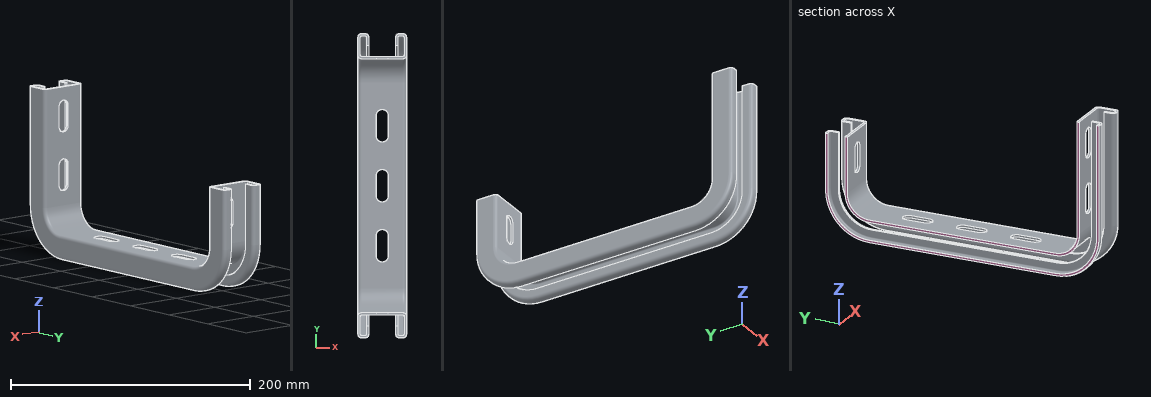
import cadquery as cq

LENGTH = 254.0
TALL_HEIGHT = 142.0
SHORT_HEIGHT = 92.0

WIDTH = 41.0
DEPTH = 21.0
THICKNESS = 2.08
OPENING = 22.0
LIP_LENGTH = 10.0
CORNER_RADIUS = 3.3

WEB_BEND_RADIUS = 19.8
BEND_RADIUS = WEB_BEND_RADIUS + DEPTH

SLOT_WIDTH = 10.0
SLOT_LENGTH = 27.0
SLOT_PITCH = 50.0
END_DISTANCE = 25.0
BASE_SLOT_COUNT = 3
TALL_SLOT_COUNT = 2
SHORT_SLOT_COUNT = 1

OPEN_SIDE_Y = -LENGTH / 2
WEB_INSIDE_Y = OPEN_SIDE_Y + DEPTH


def folded_line(inset):
    """Open wire along one face of the sheet, from lip tip to lip tip at the tall arm's end.

    An inset of zero follows the outer face, an inset of THICKNESS the inner one.
    """
    side_x = WIDTH / 2 - inset
    lip_x = OPENING / 2 + inset
    web_y = WEB_INSIDE_Y - inset
    open_y = OPEN_SIDE_Y + inset
    tip_y = OPEN_SIDE_Y + LIP_LENGTH
    right_half = [(side_x, web_y), (side_x, open_y), (lip_x, open_y), (lip_x, tip_y)]
    left_half = [(-x, y) for x, y in reversed(right_half)]
    corners = [cq.Vector(x, y, TALL_HEIGHT) for x, y in left_half + right_half]

    sharp_line = cq.Wire.makePolygon(corners)
    folds = [vertex for vertex in sharp_line.Vertices() if abs(vertex.Y - tip_y) > THICKNESS]
    return sharp_line.fillet(CORNER_RADIUS - inset, folds)


def channel_section():
    """Closed wire around the sheet, with square lip tips."""
    outer = folded_line(0)
    inner = folded_line(THICKNESS)
    tips = [
        cq.Edge.makeLine(outer.startPoint(), inner.startPoint()),
        cq.Edge.makeLine(outer.endPoint(), inner.endPoint()),
    ]
    return cq.Wire.combine([*outer.Edges(), *inner.Edges(), *tips])[0]


def bent_channel():
    """Sweep the section down the tall arm, along the base and up the short arm."""
    straight_end = LENGTH / 2 - BEND_RADIUS
    path = (
        cq.Workplane("YZ")
        .moveTo(OPEN_SIDE_Y, TALL_HEIGHT)
        .lineTo(OPEN_SIDE_Y, BEND_RADIUS)
        .radiusArc((-straight_end, 0), -BEND_RADIUS)
        .lineTo(straight_end, 0)
        .radiusArc((LENGTH / 2, BEND_RADIUS), -BEND_RADIUS)
        .lineTo(LENGTH / 2, SHORT_HEIGHT)
    )
    return cq.Workplane("XY").add(channel_section()).toPending().sweep(path)


def slot_cutters(plane, centres):
    """Slots across X = 0, long along the plane's second axis, reaching through the web."""
    return (
        plane.pushPoints([(0, centre) for centre in centres])
        .slot2D(SLOT_LENGTH, SLOT_WIDTH, 90)
        .extrude(2 * THICKNESS, both=True)
    )


tall_centres = [TALL_HEIGHT - END_DISTANCE - i * SLOT_PITCH for i in range(TALL_SLOT_COUNT)]
short_centres = [SHORT_HEIGHT - END_DISTANCE - i * SLOT_PITCH for i in range(SHORT_SLOT_COUNT)]
base_centres = [(i - (BASE_SLOT_COUNT - 1) / 2) * SLOT_PITCH for i in range(BASE_SLOT_COUNT)]

tall_web = cq.Workplane("XZ", origin=(0, WEB_INSIDE_Y, 0))
short_web = cq.Workplane("XZ", origin=(0, -WEB_INSIDE_Y, 0))
base_web = cq.Workplane("XY", origin=(0, 0, DEPTH))

result = bent_channel()
result = result.cut(slot_cutters(tall_web, tall_centres))
result = result.cut(slot_cutters(short_web, short_centres))
result = result.cut(slot_cutters(base_web, base_centres))